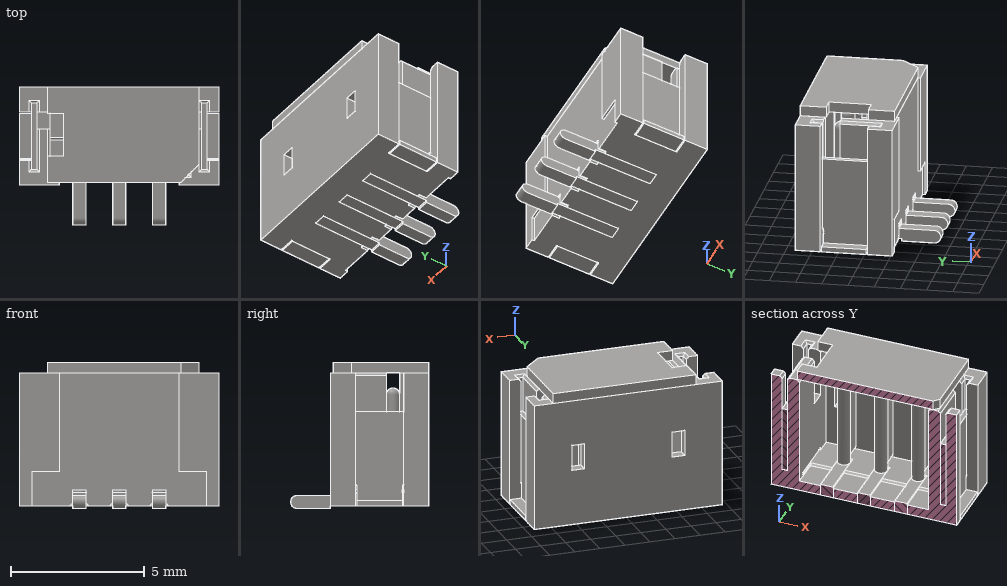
import cadquery as cq


HOUSING_LENGTH = 7.5
HALF_LENGTH = HOUSING_LENGTH / 2
HOUSING_DEPTH = 3.6
HOUSING_HEIGHT = 5.0
MOUTH_BEVEL = 0.1

PAD_THICKNESS = 0.1
PAD_INNER_X = 2.25
PAD_FOOT_INNER_X = 3.28
PAD_FOOT_HEIGHT = 1.3

CAVITY_HALF_LENGTH = 2.6
BACK_WALL = 0.4
FRONT_WALL = 0.3
CAVITY_FRONT = HOUSING_DEPTH - FRONT_WALL
FLOOR_HEIGHT = 0.5
STEP_DROP = 0.06
STEP_TOP_DEPTH = 1.9
STEP_BOTTOM_DEPTH = 2.0

KEY_BACK = 0.945
KEY_FRONT = 1.59
KEY_FLOOR = 3.0
CLEARANCE_TOP = 0.6
WINDOW_WIDTH = 0.5
WINDOW_CENTER_X = 2.0
WINDOW_BOTTOM = 2.2
WINDOW_TOP = 3.2

PIN_PITCH = 1.5
PIN_XS = [-PIN_PITCH, 0.0, PIN_PITCH]
PIN_DIAMETER = 0.5
PIN_RADIUS = PIN_DIAMETER / 2
PIN_DEPTH = 1.35
PIN_TOP = 4.44
TAIL_END_DEPTH = 5.2
HEEL_FRONT_DEPTH = HOUSING_DEPTH
JOG_DEPTH = HOUSING_DEPTH + PAD_THICKNESS
TAIL_BOTTOM = -0.1
TAIL_TOP = TAIL_BOTTOM + PIN_DIAMETER
SLOT_FLARE = 0.11
RIB_THICKNESS = 0.2

TAB_THICKNESS = 0.2
TAB_INNER_X = 3.1
TAB_OUTER_X = TAB_INNER_X + TAB_THICKNESS
TAB_CENTER_DEPTH = 1.85
TAB_WIDTH = 2.5
TAB_FOOT_WIDTH = 1.7
TAB_TOP = 3.55
TAB_SHOULDER = 0.8
RECESS_WIDTH = 1.8
TAB_CORNER_RADIUS = (RECESS_WIDTH - TAB_FOOT_WIDTH) / 2
SELECTION_MARGIN = 0.01

CAP_THICKNESS = 0.4
CAP_LEFT = -2.7
CAP_RIGHT = 3.0
CAP_DEPTH = HOUSING_DEPTH
CAP_CORNER = 0.69
CAP_NOTCH_X = -2.1
CAP_NOTCH_BACK = 1.0
CAP_NOTCH_FRONT = 2.6


def block(x_range, depth_range, z_range):
    """Box between two X positions, two depths and two heights."""
    (x0, x1), (d0, d1), (z0, z1) = x_range, depth_range, z_range
    return cq.Workplane("XY").box(x1 - x0, d1 - d0, z1 - z0, centered=False).translate((x0, -d1, z0))


def span(center, width):
    """Lower and upper limit of a stretch of the given width."""
    return (center - width / 2, center + width / 2)


def both_ends(shape):
    """The shape at the +X end together with its mirror image at the -X end."""
    return shape.union(shape.mirror("YZ"))


def beveled_mouth(x_range, depth_range):
    """Cutter for the bevel around a rectangular opening in the top face of the housing."""
    (x0, x1), (d0, d1) = x_range, depth_range
    return (
        cq.Workplane("XY", origin=((x0 + x1) / 2, -(d0 + d1) / 2, HOUSING_HEIGHT))
        .rect(x1 - x0 + 2 * MOUTH_BEVEL, d1 - d0 + 2 * MOUTH_BEVEL)
        .workplane(offset=-MOUTH_BEVEL)
        .rect(x1 - x0, d1 - d0)
        .loft(ruled=True)
    )


def front_pads():
    depths = (HOUSING_DEPTH, HOUSING_DEPTH + PAD_THICKNESS)
    upper = block((PAD_INNER_X, HALF_LENGTH), depths, (PAD_FOOT_HEIGHT, HOUSING_HEIGHT))
    lower = block((PAD_FOOT_INNER_X, HALF_LENGTH), depths, (0, PAD_FOOT_HEIGHT))
    return both_ends(upper.union(lower))


def plug_cavity():
    x_range = (-CAVITY_HALF_LENGTH, CAVITY_HALF_LENGTH)
    profile = [
        (-BACK_WALL, HOUSING_HEIGHT),
        (-BACK_WALL, FLOOR_HEIGHT),
        (-STEP_TOP_DEPTH, FLOOR_HEIGHT),
        (-STEP_BOTTOM_DEPTH, FLOOR_HEIGHT - STEP_DROP),
        (-CAVITY_FRONT, FLOOR_HEIGHT - STEP_DROP),
        (-CAVITY_FRONT, HOUSING_HEIGHT),
    ]
    hollow = cq.Workplane("YZ").polyline(profile).close().extrude(CAVITY_HALF_LENGTH, both=True)
    return hollow.union(beveled_mouth(x_range, (BACK_WALL, CAVITY_FRONT)))


def pin_ribs():
    """Ribs from the back wall to the pins."""
    depths = (BACK_WALL, PIN_DEPTH - PIN_RADIUS)
    heights = (CLEARANCE_TOP, HOUSING_HEIGHT)
    ribs = block(span(PIN_XS[0], RIB_THICKNESS), depths, heights)
    for x in PIN_XS[1:]:
        ribs = ribs.union(block(span(x, RIB_THICKNESS), depths, heights))
    return ribs


def tab_openings():
    """Slot, side recess, keyway and low opening at each end of the housing."""
    slot_x = (TAB_INNER_X, TAB_OUTER_X)
    slot_depths = span(TAB_CENTER_DEPTH, TAB_WIDTH)
    recess_depths = span(TAB_CENTER_DEPTH, RECESS_WIDTH)
    wall_x = (CAVITY_HALF_LENGTH, TAB_INNER_X)
    slot = block(slot_x, slot_depths, (TAB_SHOULDER, HOUSING_HEIGHT))
    mouth = beveled_mouth(slot_x, slot_depths)
    recess = block((TAB_INNER_X, HALF_LENGTH), recess_depths, (0, HOUSING_HEIGHT))
    keyway = block(wall_x, (KEY_BACK, KEY_FRONT), (KEY_FLOOR, HOUSING_HEIGHT))
    low_opening = block(wall_x, recess_depths, (FLOOR_HEIGHT, CLEARANCE_TOP))
    return both_ends(slot.union(mouth).union(recess).union(keyway).union(low_opening))


def back_windows():
    window = block(span(WINDOW_CENTER_X, WINDOW_WIDTH), (0, BACK_WALL), (WINDOW_BOTTOM, WINDOW_TOP))
    return both_ends(window)


def tail_slot(x):
    """Slot for one pin through the floor and the front wall, flared at its lower front edge."""
    slot = block(span(x, PIN_DIAMETER), (PIN_DEPTH - PIN_RADIUS, HOUSING_DEPTH), (0, CLEARANCE_TOP))
    flare = (
        cq.Workplane("XZ", origin=(x, -CAVITY_FRONT, 0))
        .moveTo(-PIN_RADIUS - SLOT_FLARE, 0)
        .lineTo(PIN_RADIUS + SLOT_FLARE, 0)
        .lineTo(PIN_RADIUS, SLOT_FLARE)
        .lineTo(-PIN_RADIUS, SLOT_FLARE)
        .close()
        .extrude(FRONT_WALL)
    )
    return slot.union(flare)


def make_housing():
    shell = block((-HALF_LENGTH, HALF_LENGTH), (0, HOUSING_DEPTH), (0, HOUSING_HEIGHT))
    body = shell.union(front_pads()).cut(plug_cavity()).union(pin_ribs())
    body = body.cut(tab_openings()).cut(back_windows())
    for x in PIN_XS:
        body = body.cut(tail_slot(x))
    return body


def make_pin(x):
    """Round post with a domed top on a long heel, and a lower tail with a round end running forward."""
    x_range = span(x, PIN_DIAMETER)
    heel = block(x_range, (PIN_DEPTH - PIN_RADIUS, HEEL_FRONT_DEPTH), (0, FLOOR_HEIGHT))
    neck = block(x_range, (HEEL_FRONT_DEPTH, JOG_DEPTH), (0, TAIL_TOP))
    tail = block(x_range, (JOG_DEPTH, TAIL_END_DEPTH - PIN_RADIUS), (TAIL_BOTTOM, TAIL_TOP))
    tail_end = (
        cq.Workplane("YZ", origin=(x_range[0], PIN_RADIUS - TAIL_END_DEPTH, TAIL_BOTTOM + PIN_RADIUS))
        .circle(PIN_RADIUS)
        .extrude(PIN_DIAMETER)
    )
    dome_center = PIN_TOP - PIN_RADIUS
    post = (
        cq.Workplane("XY", origin=(x, -PIN_DEPTH, FLOOR_HEIGHT))
        .circle(PIN_RADIUS)
        .extrude(dome_center - FLOOR_HEIGHT)
    )
    dome = cq.Workplane("XY", origin=(x, -PIN_DEPTH, dome_center)).sphere(PIN_RADIUS)
    return heel.union(neck).union(tail).union(tail_end).union(post).union(dome)


def make_tab():
    """L-shaped solder tab at the +X end: a plate with a narrow neck and a foot pointing outwards."""
    plate_x = (TAB_INNER_X, TAB_OUTER_X)
    neck_depths = span(TAB_CENTER_DEPTH, TAB_FOOT_WIDTH)
    plate = block(plate_x, span(TAB_CENTER_DEPTH, TAB_WIDTH), (TAB_SHOULDER, TAB_TOP))
    neck = block(plate_x, neck_depths, (0, TAB_SHOULDER))
    back, front = neck_depths
    inner_corners = cq.selectors.BoxSelector(
        (TAB_INNER_X - SELECTION_MARGIN, -front - SELECTION_MARGIN, TAB_SHOULDER - SELECTION_MARGIN),
        (TAB_OUTER_X + SELECTION_MARGIN, -back + SELECTION_MARGIN, TAB_SHOULDER + SELECTION_MARGIN),
    )
    upright = plate.union(neck).edges("|X").edges(inner_corners).fillet(TAB_CORNER_RADIUS)
    foot = block((TAB_INNER_X, HALF_LENGTH), neck_depths, (0, TAB_THICKNESS))
    return upright.union(foot)


def make_cap():
    """Flat plate on top of the housing with a notch at its left edge and one cut corner."""
    outline = [
        (CAP_LEFT, 0),
        (CAP_RIGHT, 0),
        (CAP_RIGHT, CAP_CORNER - CAP_DEPTH),
        (CAP_RIGHT - CAP_CORNER, -CAP_DEPTH),
        (CAP_LEFT, -CAP_DEPTH),
    ]
    plate = (
        cq.Workplane("XY", origin=(0, 0, HOUSING_HEIGHT))
        .polyline(outline)
        .close()
        .extrude(CAP_THICKNESS)
    )
    notch = block(
        (CAP_LEFT, CAP_NOTCH_X),
        (CAP_NOTCH_BACK, CAP_NOTCH_FRONT),
        (HOUSING_HEIGHT, HOUSING_HEIGHT + CAP_THICKNESS),
    )
    return plate.cut(notch)


housing = make_housing()
pins = [make_pin(x) for x in PIN_XS]
right_tab = make_tab()
left_tab = right_tab.mirror("YZ")
cap = make_cap()

result = cq.Compound.makeCompound(
    [housing.val(), *[pin.val() for pin in pins], right_tab.val(), left_tab.val(), cap.val()]
)